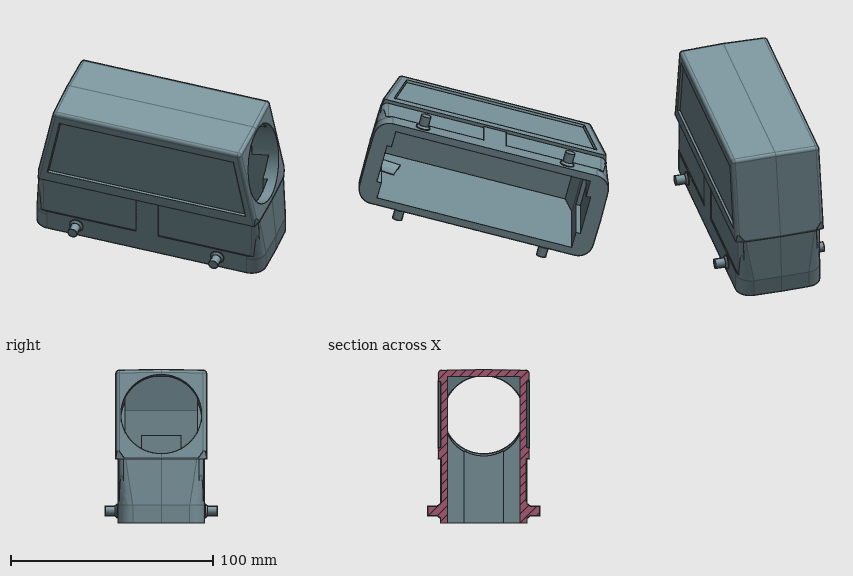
import cadquery as cq
import math

length = 120.0
height = 76.0
pin_span = 55.5
draft_angle = 1.0

cover_width = 45.0
cover_base_z = 31.7
cover_base_half = 58.2
cover_top_half = 49.3
cover_edge_radius = 1.8
end_slope = (cover_base_half - cover_top_half) / (height - cover_base_z)

trim_half = 58.1
trim_corner_end = (57.7, 18.5)
trim_corner_side = (56.5, 22.5)
trim_height = 7.2
trim_reach = 2.4

panel_bottom_z = 37.1
panel_top_z = 70.2
panel_bottom_half = 51.8
panel_top_half = 45.5
panel_depth = 1.2
panel_taper = 20.0

body_width = 43.0
skirt_height = 8.9
skirt_radius = 7.5
neck_half = 58.0
neck_radius = 4.0

pocket_bottom_z = 10.8
pocket_depth = 0.6
pocket_inner_x = 5.8
pocket_inner_y = 18.7
pocket_base_half = 59.3
pocket_base_radius = 4.7
pocket_top_half = 57.7
pocket_top_radius = 2.9

pin_x = 36.8
pin_z = 6.0
pin_diameter = 4.8
collar_diameter = 7.0
collar_height = 1.5
collar_rim = 0.4

cavity_half = 49.8
cavity_width = 35.8
wall = 3.6
notch_half = 52.1
notch_width = 19.5
notch_height = 43.2

entry_diameter = 40.0
entry_z = 53.9
entry_depth = 14.4


def cover_half_at(z):
    """Half length of the sloping cover ends at height z."""
    return cover_base_half - end_slope * (z - cover_base_z)


def trapezoid(bottom_z, bottom_half, top_z, top_half):
    return [(-bottom_half, bottom_z), (bottom_half, bottom_z), (top_half, top_z), (-top_half, top_z)]


def section(half, width, radius):
    """Rounded plan outline whose ends peak slightly at y = 0."""
    side = width / 2
    corner_x = half - side * math.tan(math.radians(draft_angle))
    points = [
        (half, 0),
        (corner_x, side),
        (-corner_x, side),
        (-half, 0),
        (-corner_x, -side),
        (corner_x, -side),
    ]
    outline = cq.Sketch().polygon(points + points[:1])
    return outline.vertices(">Y or <Y").fillet(radius)


def loft_between(lower, lower_z, upper, upper_z):
    lower_face = lower.moved(cq.Location(cq.Vector(0, 0, lower_z)))
    upper_face = upper.moved(cq.Location(cq.Vector(0, 0, upper_z)))
    return cq.Workplane("XY").placeSketch(lower_face, upper_face).loft(ruled=True)


def on_both_sides(shape):
    return shape.union(shape.mirror("XZ"))


def on_both_ends(shape):
    return shape.union(shape.mirror("YZ"))


def make_cover():
    outline = trapezoid(0, cover_half_at(0), height, cover_top_half)
    half_cover = cq.Workplane("XZ").polyline(outline).close().extrude(cover_width / 2, taper=draft_angle)
    side_edges = half_cover.faces("<Y").edges("not <Z")
    top_edges = half_cover.faces(">Z").edges("not |X")
    half_cover = side_edges.add(top_edges).fillet(cover_edge_radius)
    below_rim = cq.Workplane("XY").box(2 * length, length, 2 * cover_base_z)
    return on_both_sides(half_cover.cut(below_rim))


def make_rim_trims():
    """Upright cutters that trim the bottom rim of the cover at both ends and their corners."""
    outside_x = trim_half + trim_reach
    outside_y = cover_width / 2 + trim_reach
    outline = [
        (trim_half, 0),
        trim_corner_end,
        trim_corner_side,
        (trim_corner_side[0], outside_y),
        (outside_x, outside_y),
        (outside_x, 0),
    ]
    trim = cq.Workplane("XY", origin=(0, 0, cover_base_z)).polyline(outline).close().extrude(trim_height)
    return on_both_ends(on_both_sides(trim))


def make_label_panels():
    outline = trapezoid(panel_bottom_z, panel_bottom_half, panel_top_z, panel_top_half)
    side_face = cq.Workplane("XZ", origin=(0, cover_width / 2, 0))
    return on_both_sides(side_face.polyline(outline).close().extrude(panel_depth, taper=panel_taper))


def make_lower_body():
    skirt_outline = section(length / 2, body_width, skirt_radius)
    skirt = cq.Workplane("XY").placeSketch(skirt_outline).extrude(skirt_height)
    neck_top = section(neck_half, body_width, neck_radius)
    neck = loft_between(skirt_outline, skirt_height, neck_top, cover_base_z)

    pocket_width = body_width - 2 * pocket_depth
    pocket_core = loft_between(
        section(pocket_base_half, pocket_width, pocket_base_radius), pocket_bottom_z,
        section(pocket_top_half, pocket_width, pocket_top_radius), cover_base_z,
    )
    pocket_height = cover_base_z - pocket_bottom_z
    pocket_zone = cq.Workplane("XY", origin=(0, 0, pocket_bottom_z))
    pocket_zone = pocket_zone.box(2 * length, length, pocket_height, centered=(True, True, False))
    centre_strip = cq.Workplane("XY").box(2 * pocket_inner_x, length, 2 * height)
    end_strip = cq.Workplane("XY").box(2 * length, 2 * pocket_inner_y, 2 * height)
    pockets = pocket_zone.cut(pocket_core).cut(centre_strip).cut(end_strip)
    return skirt.union(neck.cut(pockets))


def make_pins():
    """Locking pins on conical collars, rooted at y = 0; the cavity later removes their inner part."""
    side = body_width / 2
    profile = [
        (0, 0),
        (collar_diameter / 2, 0),
        (collar_diameter / 2, side + collar_rim),
        (pin_diameter / 2, side + collar_height),
        (pin_diameter / 2, pin_span / 2),
        (0, pin_span / 2),
    ]
    pin = cq.Workplane("XY").polyline(profile).close().revolve(360, (0, 0), (0, 1))
    return on_both_ends(on_both_sides(pin.translate((pin_x, 0, pin_z))))


def make_cavity():
    """Interior open at the bottom, with a narrow notch reaching into each end wall."""
    ceiling_z = height - wall
    bend_z = cover_base_z + (cover_base_half - wall - cavity_half) / end_slope
    ceiling_half = cover_half_at(ceiling_z) - wall
    outline = [
        (-cavity_half, 0),
        (cavity_half, 0),
        (cavity_half, bend_z),
        (ceiling_half, ceiling_z),
        (-ceiling_half, ceiling_z),
        (-cavity_half, bend_z),
    ]
    room = cq.Workplane("XZ").polyline(outline).close().extrude(cavity_width / 2, both=True)
    notches = cq.Workplane("XY").box(2 * notch_half, notch_width, notch_height, centered=(True, True, False))
    return room.union(notches)


def make_cable_entry():
    inward = cq.Vector(-1, 0, -end_slope)
    face_centre = (cover_half_at(entry_z), 0, entry_z)
    entry_plane = cq.Plane(origin=face_centre, xDir=(0, 1, 0), normal=inward)
    return (
        cq.Workplane(entry_plane)
        .workplane(offset=-wall)
        .circle(entry_diameter / 2)
        .extrude(wall + entry_depth)
    )


cover = make_cover().cut(make_rim_trims()).cut(make_label_panels())
result = (
    make_lower_body()
    .union(make_pins())
    .union(cover)
    .cut(make_cavity())
    .cut(make_cable_entry())
)